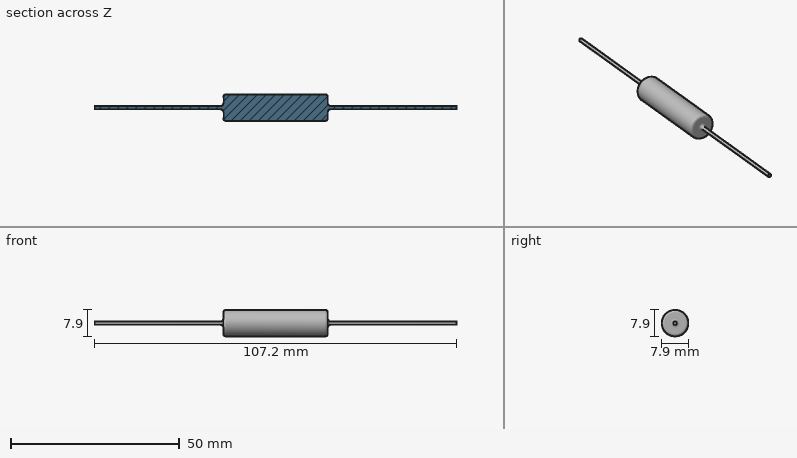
import cadquery as cq

overall_length = 107.2
body_length = 31.0
body_diameter = 7.9
body_edge_radius = 0.9
lead_diameter = 1.1
lead_root_radius = 0.8

lead_end = overall_length / 2
body_end = body_length / 2
lead_radius = lead_diameter / 2
body_radius = body_diameter / 2
root_start = body_end + lead_root_radius
root_outer_radius = lead_radius + lead_root_radius
rim_start = body_end - body_edge_radius
rim_inner_radius = body_radius - body_edge_radius

half_section = (
    cq.Workplane("XZ")
    .moveTo(-lead_end, 0)
    .lineTo(-lead_end, lead_radius)
    .lineTo(-root_start, lead_radius)
    .radiusArc((-body_end, root_outer_radius), -lead_root_radius)
    .lineTo(-body_end, rim_inner_radius)
    .radiusArc((-rim_start, body_radius), body_edge_radius)
    .lineTo(rim_start, body_radius)
    .radiusArc((body_end, rim_inner_radius), body_edge_radius)
    .lineTo(body_end, root_outer_radius)
    .radiusArc((root_start, lead_radius), -lead_root_radius)
    .lineTo(lead_end, lead_radius)
    .lineTo(lead_end, 0)
    .close()
)

result = half_section.revolve(360, (0, 0, 0), (1, 0, 0))